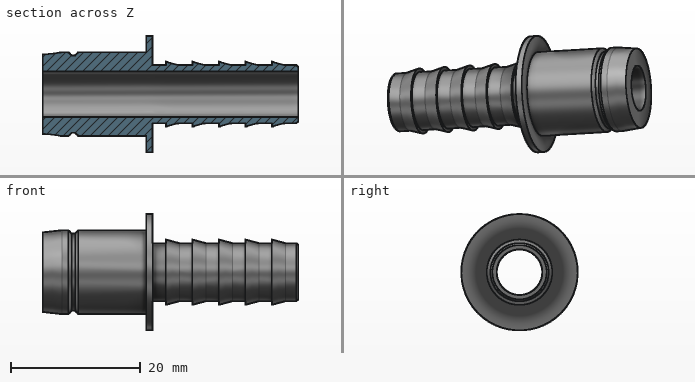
import cadquery as cq

total_length = 39.5
nose_length = 3.0
groove_start = 4.0
groove_depth = 0.5
groove_floor_width = 0.5
flange_start = 16.0
flange_thickness = 1.0
tip_chamfer = 0.3

bore_diameter = 7.0
nose_diameter = 12.32
body_diameter = 13.0
flange_diameter = 18.0
hose_stem_diameter = 9.0
barb_diameter = 10.1

barb_count = 5
flange_end = flange_start + flange_thickness
barb_length = (total_length - flange_end) / (2 * barb_count + 1)
barb_pitch = 2 * barb_length


def turned(rim):
    """Solid of revolution about X from (position, radius) points, closed along the axis."""
    first_position = rim[0][0]
    last_position = rim[-1][0]
    outline = [(first_position, 0)] + rim + [(last_position, 0)]
    return cq.Workplane("XZ").polyline(outline).close().revolve(360, (0, 0, 0), (1, 0, 0))


def cylinder(start, end, diameter):
    """Round bar along X between two positions."""
    return turned([(start, diameter / 2), (end, diameter / 2)])


def plug_body():
    """Plug with a tapered nose and a groove with 45 degree walls."""
    body_radius = body_diameter / 2
    floor_radius = body_radius - groove_depth
    floor_start = groove_start + groove_depth
    floor_end = floor_start + groove_floor_width
    groove_end = floor_end + groove_depth
    return turned([
        (0, nose_diameter / 2),
        (nose_length, body_radius),
        (groove_start, body_radius),
        (floor_start, floor_radius),
        (floor_end, floor_radius),
        (groove_end, body_radius),
        (flange_start, body_radius),
    ])


def barb(start):
    """Cone that is widest toward the flange and narrows to the stem."""
    return turned([(start, barb_diameter / 2), (start + barb_length, hose_stem_diameter / 2)])


flange = cylinder(flange_start, flange_end, flange_diameter)
hose_stem = cylinder(flange_end, total_length, hose_stem_diameter).faces(">X").chamfer(tip_chamfer)

part = plug_body().union(flange).union(hose_stem)
for index in range(barb_count):
    part = part.union(barb(flange_end + barb_length + index * barb_pitch))

result = part.cut(cylinder(0, total_length, bore_diameter))